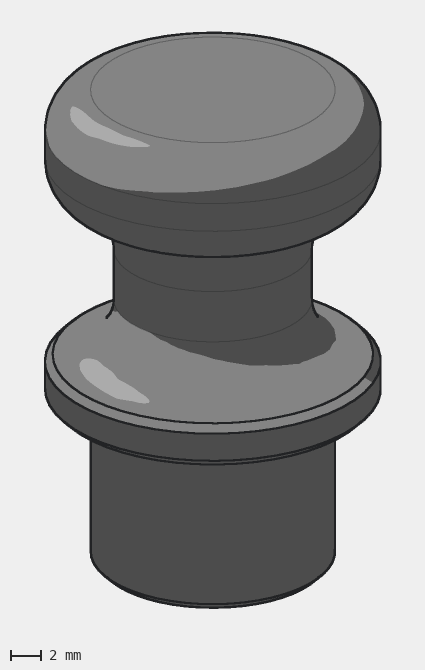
import cadquery as cq
import math

total_height = 34.0
outer_diameter = 22.0
neck_diameter = 13.0
shank_diameter = 16.0
shank_length = 11.83
flange_thickness = 3.0
edge_chamfer = 0.5
head_rounding = 3.0
head_rim_height = 2.0

outer_radius = outer_diameter / 2
neck_radius = neck_diameter / 2
shank_radius = shank_diameter / 2
head_flat_radius = outer_radius - head_rounding
flange_top_radius = outer_radius - edge_chamfer
neck_fillet = flange_top_radius - neck_radius

flange_top_z = shank_length + flange_thickness
neck_bottom_z = flange_top_z + neck_fillet
rim_top_z = total_height - head_rounding
rim_bottom_z = rim_top_z - head_rim_height

center_offset = flange_top_radius - head_flat_radius
center_distance = head_rounding + neck_fillet
neck_top_z = rim_bottom_z - math.sqrt(center_distance**2 - center_offset**2)


def arc_point(center_r, center_z, radius, angle):
    """Point (r, z) on an arc in the half-section, with the angle in radians."""
    return (center_r + radius * math.cos(angle), center_z + radius * math.sin(angle))


def make_knob():
    """Flange, waisted neck and rounded head, revolved from one half-section."""
    diagonal = math.radians(45)
    tangent_angle = math.atan2(neck_top_z - rim_bottom_z, center_offset)
    fillet_end_angle = math.pi + tangent_angle

    lower_fillet_middle = arc_point(flange_top_radius, neck_bottom_z, neck_fillet, math.pi + diagonal)
    upper_fillet_middle = arc_point(
        flange_top_radius, neck_top_z, neck_fillet, (math.pi + fillet_end_angle) / 2
    )
    tangent_point = arc_point(head_flat_radius, rim_bottom_z, head_rounding, tangent_angle)
    head_bottom_middle = arc_point(head_flat_radius, rim_bottom_z, head_rounding, tangent_angle / 2)
    head_top_middle = arc_point(head_flat_radius, rim_top_z, head_rounding, diagonal)

    return (
        cq.Workplane("XZ")
        .moveTo(0, shank_length)
        .lineTo(outer_radius - edge_chamfer, shank_length)
        .lineTo(outer_radius, shank_length + edge_chamfer)
        .lineTo(outer_radius, flange_top_z - edge_chamfer)
        .lineTo(flange_top_radius, flange_top_z)
        .threePointArc(lower_fillet_middle, (neck_radius, neck_bottom_z))
        .lineTo(neck_radius, neck_top_z)
        .threePointArc(upper_fillet_middle, tangent_point)
        .threePointArc(head_bottom_middle, (outer_radius, rim_bottom_z))
        .lineTo(outer_radius, rim_top_z)
        .threePointArc(head_top_middle, (head_flat_radius, total_height))
        .lineTo(0, total_height)
        .close()
        .revolve(360, (0, 0, 0), (0, 1, 0))
    )


def make_shank():
    """Plain cylinder under the flange, chamfered at its free end."""
    return (
        cq.Workplane("XY")
        .circle(shank_radius)
        .extrude(shank_length)
        .faces("<Z")
        .chamfer(edge_chamfer)
    )


knob = make_knob()
shank = make_shank()

result = cq.Compound.makeCompound([knob.val(), shank.val()])